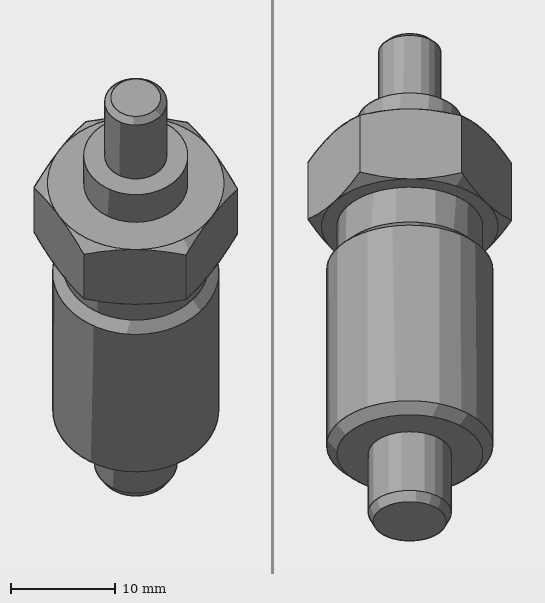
import cadquery as cq
import math


total_height = 54.4
pin_radius = 4.0
stem_radius = 3.0
stem_chamfer = 0.6
tip_chamfer_width = 0.5
tip_chamfer_height = 1.0
tip_dome_height = 0.3

sleeve_bottom = 8.0
sleeve_length = 22.0
sleeve_radius = 8.0
sleeve_chamfer = 1.0
neck_length = 3.95
neck_radius = sleeve_radius - sleeve_chamfer
hex_across_flats = 17.0
hex_height = 8.0
hex_half_corner_angle = 30.0
hex_chamfer_angle = 30.0
collar_height = 4.0
collar_radius = 5.0

sleeve_top = sleeve_bottom + sleeve_length
hex_bottom = sleeve_top + neck_length
hex_top = hex_bottom + hex_height
collar_top = hex_top + collar_height


def cylinder(radius, bottom, top):
    return cq.Workplane("XY").workplane(offset=bottom).circle(radius).extrude(top - bottom)


def make_hexagon():
    """Hexagon with corners on X, its corners bevelled by a cone at both ends."""
    flat_radius = hex_across_flats / 2
    corner_radius = flat_radius / math.cos(math.radians(hex_half_corner_angle))
    bevel_height = (corner_radius - flat_radius) * math.tan(math.radians(hex_chamfer_angle))
    prism = (
        cq.Workplane("XY")
        .workplane(offset=hex_bottom)
        .polygon(6, 2 * corner_radius)
        .extrude(hex_height)
    )
    bevel_envelope = (
        cq.Workplane("XZ")
        .moveTo(0, hex_bottom)
        .lineTo(flat_radius, hex_bottom)
        .lineTo(corner_radius, hex_bottom + bevel_height)
        .lineTo(corner_radius, hex_top - bevel_height)
        .lineTo(flat_radius, hex_top)
        .lineTo(0, hex_top)
        .close()
        .revolve(360, (0, 0), (0, 1))
    )
    return prism.intersect(bevel_envelope)


def make_pin():
    """Revolved pin; it steps down from its thick end to the stem at the top of the sleeve."""
    tip_radius = pin_radius - tip_chamfer_width
    dome_radius = (tip_radius**2 + tip_dome_height**2) / (2 * tip_dome_height)
    half_tip_radius = tip_radius / 2
    dome_mid_height = dome_radius - math.sqrt(dome_radius**2 - half_tip_radius**2)
    return (
        cq.Workplane("XZ")
        .moveTo(0, 0)
        .threePointArc((half_tip_radius, dome_mid_height), (tip_radius, tip_dome_height))
        .lineTo(pin_radius, tip_dome_height + tip_chamfer_height)
        .lineTo(pin_radius, sleeve_top)
        .lineTo(stem_radius, sleeve_top)
        .lineTo(stem_radius, total_height - stem_chamfer)
        .lineTo(stem_radius - stem_chamfer, total_height)
        .lineTo(0, total_height)
        .close()
        .revolve(360, (0, 0), (0, 1))
    )


def make_housing():
    """Sleeve, neck, hexagon and collar in one solid, with a stepped bore that fits the pin."""
    sleeve = cylinder(sleeve_radius, sleeve_bottom, sleeve_top).faces("<Z or >Z").chamfer(sleeve_chamfer)
    neck = cylinder(neck_radius, sleeve_top, hex_bottom)
    collar = cylinder(collar_radius, hex_top, collar_top)
    pin_bore = cylinder(pin_radius, sleeve_bottom, sleeve_top)
    stem_bore = cylinder(stem_radius, sleeve_top, collar_top)
    return sleeve.union(neck).union(make_hexagon()).union(collar).cut(pin_bore).cut(stem_bore)


pin = make_pin()
housing = make_housing()

result = cq.Compound.makeCompound([*housing.solids().vals(), *pin.solids().vals()])